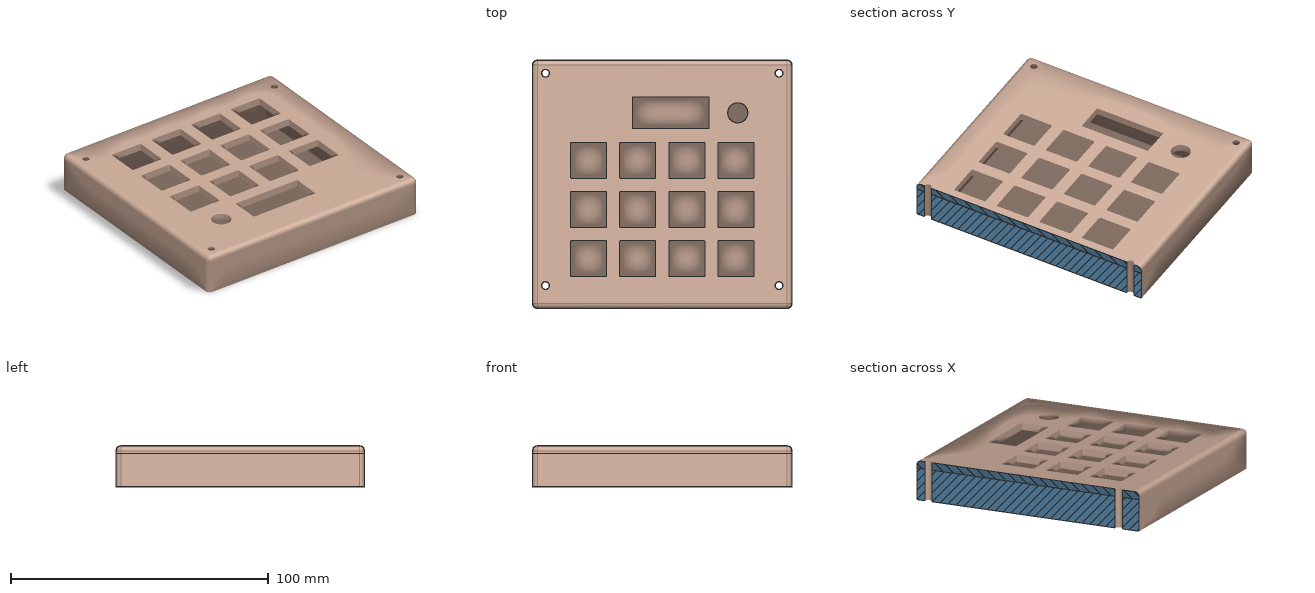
import cadquery as cq

LENGTH = 100.7
WIDTH = 96.47
HEIGHT = 16.0
LID_THICKNESS = 3.0
CASE_HEIGHT = HEIGHT - LID_THICKNESS
EDGE_RADIUS = 2.0

WALL = 10.0
FLOOR = 3.0
CAVITY_DEPTH = CASE_HEIGHT - FLOOR

SCREW_DIAMETER = 2.9
SCREW_X = 45.3
SCREW_BACK_Y = 43.1
SCREW_FRONT_Y = -39.3
SCREW_POINTS = [(x, y) for x in (-SCREW_X, SCREW_X) for y in (SCREW_FRONT_Y, SCREW_BACK_Y)]

KEY_SIZE = 14.0
KEY_PITCH = 19.05
KEY_COLUMNS = 4
KEY_ROWS = 3
KEY_CORNER_RADIUS = 0.5
KEYPAD_Y = -9.75

CONTROLS_Y = 27.75
DISPLAY_LENGTH = 29.6
DISPLAY_WIDTH = 12.1
DISPLAY_X = 3.25
ENCODER_DIAMETER = 7.8
ENCODER_X = 29.3


def rounded_block(length, width, height, base_z):
    """Block centred in X and Y with rounded vertical corners."""
    block = cq.Workplane("XY").workplane(offset=base_z).rect(length, width).extrude(height)
    return block.edges("|Z").fillet(EDGE_RADIUS)


def screw_holes():
    """Cutters for the four screw holes, running the full height."""
    return cq.Workplane("XY").pushPoints(SCREW_POINTS).circle(SCREW_DIAMETER / 2).extrude(HEIGHT)


def key_openings():
    """Cutters for the grid of square key openings with slightly rounded corners."""
    openings = (
        cq.Workplane("XY")
        .workplane(offset=CASE_HEIGHT)
        .center(0, KEYPAD_Y)
        .rarray(KEY_PITCH, KEY_PITCH, KEY_COLUMNS, KEY_ROWS)
        .rect(KEY_SIZE, KEY_SIZE)
        .extrude(LID_THICKNESS)
    )
    return openings.edges("|Z").fillet(KEY_CORNER_RADIUS)


def display_window():
    """Cutter for the rectangular display window."""
    plane = cq.Workplane("XY").workplane(offset=CASE_HEIGHT)
    return plane.center(DISPLAY_X, CONTROLS_Y).rect(DISPLAY_LENGTH, DISPLAY_WIDTH).extrude(LID_THICKNESS)


def encoder_hole():
    """Cutter for the round encoder shaft hole."""
    plane = cq.Workplane("XY").workplane(offset=CASE_HEIGHT)
    return plane.center(ENCODER_X, CONTROLS_Y).circle(ENCODER_DIAMETER / 2).extrude(LID_THICKNESS)


def make_case():
    """Tray with thick walls that carry the screw holes."""
    body = rounded_block(LENGTH, WIDTH, CASE_HEIGHT, 0)
    cavity = (
        cq.Workplane("XY")
        .workplane(offset=FLOOR)
        .rect(LENGTH - 2 * WALL, WIDTH - 2 * WALL)
        .extrude(CAVITY_DEPTH)
    )
    return body.cut(cavity).cut(screw_holes())


def make_lid():
    """Cover plate with a rounded top edge and all the control openings."""
    plate = rounded_block(LENGTH, WIDTH, LID_THICKNESS, CASE_HEIGHT)
    plate = plate.faces(">Z").edges().fillet(EDGE_RADIUS)
    for opening in (key_openings(), display_window(), encoder_hole(), screw_holes()):
        plate = plate.cut(opening)
    return plate


case = make_case()
lid = make_lid()

result = cq.Compound.makeCompound([case.solids().val(), lid.solids().val()])